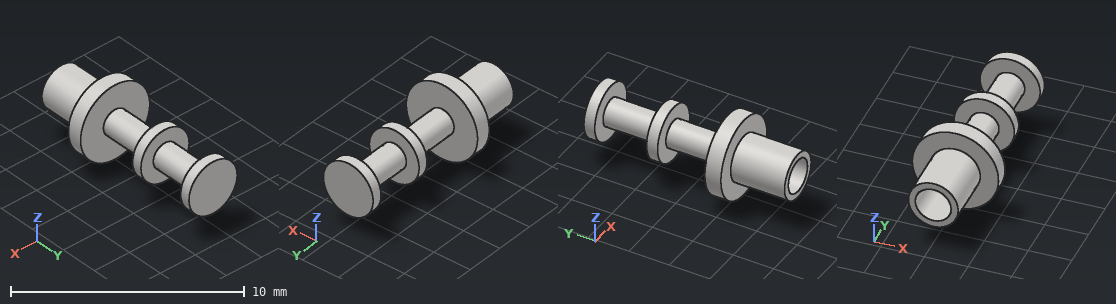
import cadquery as cq
import math

total_length = 9.8

barrel_diameter = 2.28
barrel_length = 2.67
flange_diameter = 3.96
flange_thickness = 0.8
shaft_diameter = 1.35
collar_diameter = 2.76
collar_thickness = 0.55
middle_collar_start = 6.14
end_collar_start = total_length - collar_thickness

bore_diameter = 1.64
bore_depth = barrel_length
drill_point_angle = 118.0


def cylinder(diameter, start, length):
    """Solid cylinder along +Y beginning at Y = start."""
    axis = cq.Vector(0, 1, 0)
    return cq.Workplane(cq.Solid.makeCylinder(diameter / 2, length, cq.Vector(0, start, 0), axis))


def drilled_bore():
    """Blind hole: straight wall followed by a conical drill point."""
    radius = bore_diameter / 2
    point_depth = radius / math.tan(math.radians(drill_point_angle / 2))
    return (
        cq.Workplane("XY")
        .lineTo(radius, 0)
        .lineTo(radius, bore_depth)
        .lineTo(0, bore_depth + point_depth)
        .close()
        .revolve(360, (0, 0, 0), (0, 1, 0))
    )


barrel = cylinder(barrel_diameter, 0, barrel_length)
flange = cylinder(flange_diameter, barrel_length, flange_thickness)
shaft = cylinder(shaft_diameter, barrel_length, total_length - barrel_length)

body = barrel.union(flange).union(shaft)
for collar_start in (middle_collar_start, end_collar_start):
    body = body.union(cylinder(collar_diameter, collar_start, collar_thickness))

result = body.cut(drilled_bore())